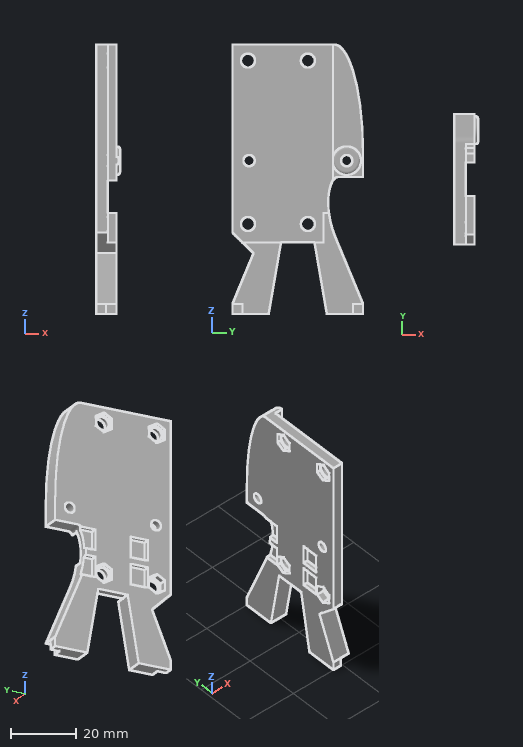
import cadquery as cq
import math

WIDTH = 40.0
HEIGHT = 82.55
BODY_THICKNESS = 6.3
PLATE_THICKNESS = 3.55

FOOT_WIDTH = 11.15
FOOT_HEIGHT = 3.1
CROTCH_HEIGHT = 21.95
CROTCH_INSET = 14.95
WAIST_INSET = 6.4
WAIST_HEIGHT = 18.65
SHOULDER_HEIGHT = 24.9

CORNER_RADIUS_Y = 8.9
CORNER_RADIUS_Z = 33.0
NOTCH_TOP = 41.9
NOTCH_RADIUS_Y = 2.9
NOTCH_RADIUS_Z = 7.6
NOTCH_DEEPEST_Y = 29.4

RIM_INNER_Y = 30.8
BLOCK_TOP = 30.95
BLOCK_INNER_Y = 27.9
FOOT_REBATE = 3.05
FOOT_PLATE_THICKNESS = 3.05

BORE_DIAMETER = 4.2
NUT_Y = (4.8, 23.1)
NUT_Z = (27.6, 77.6)
NUT_FLATS = 5.6
NUT_FLOOR_FLATS = 5.1
NUT_DEPTH = 1.1
DEEP_NUT = (NUT_Y[0], NUT_Z[0])
DEEP_NUT_DEPTH = 2.5

POCKET_DEPTH = 1.2
POCKET_WIDTH = 5.95
POCKET_HEIGHT = 6.8
POCKET_TAPER = 0.5
POCKET_Y = (10.9, 29.1)
POCKET_Z = (29.05, 38.05)

PIN_DIAMETER = 3.4
PIN_Z = 47.0
PIN_Y = (5.1, 35.0)
BOSS_DIAMETER = 8.75
BOSS_HEIGHT = 1.1
BOSS_ROUNDING = 1.0


def plane_at(x):
    """Sketch plane facing +X, with Y across and Z up."""
    return cq.Workplane("YZ", origin=(x, 0, 0))


def rear_box(x, y_range, z_range):
    """Block from x to beyond the rear face, used to open up the rear layer."""
    depth = BODY_THICKNESS + BOSS_HEIGHT - x
    size_y = y_range[1] - y_range[0]
    size_z = z_range[1] - z_range[0]
    corner = (x, y_range[0], z_range[0])
    return cq.Workplane("XY").box(depth, size_y, size_z, centered=False).translate(corner)


def body():
    """Full silhouette at the thickness of the plate plus its rear layer."""
    run = WAIST_INSET
    rise = WAIST_HEIGHT - FOOT_HEIGHT
    slant = math.atan2(run, rise)
    notch_z = NOTCH_TOP - NOTCH_RADIUS_Z
    corner_z = FOOT_HEIGHT + (WIDTH - NOTCH_DEEPEST_Y) * rise / run
    tangent_length = notch_z - corner_z
    arc_start = (
        NOTCH_DEEPEST_Y + tangent_length * math.sin(slant),
        corner_z - tangent_length * math.cos(slant),
    )
    return (
        plane_at(0)
        .moveTo(WIDTH, 0)
        .lineTo(WIDTH, FOOT_HEIGHT)
        .lineTo(*arc_start)
        .tangentArcPoint((NOTCH_DEEPEST_Y, notch_z), relative=False)
        .ellipseArc(NOTCH_RADIUS_Y, NOTCH_RADIUS_Z, 90, 180, sense=-1)
        .lineTo(WIDTH, NOTCH_TOP)
        .lineTo(WIDTH, HEIGHT - CORNER_RADIUS_Z)
        .ellipseArc(CORNER_RADIUS_Y, CORNER_RADIUS_Z, 0, 90)
        .lineTo(0, HEIGHT)
        .lineTo(0, SHOULDER_HEIGHT)
        .lineTo(WAIST_INSET, WAIST_HEIGHT)
        .lineTo(0, FOOT_HEIGHT)
        .lineTo(0, 0)
        .lineTo(FOOT_WIDTH, 0)
        .lineTo(CROTCH_INSET, CROTCH_HEIGHT)
        .lineTo(WIDTH - CROTCH_INSET, CROTCH_HEIGHT)
        .lineTo(WIDTH - FOOT_WIDTH, 0)
        .close()
        .extrude(BODY_THICKNESS)
    )


def rear_openings():
    """Space removed behind the plate and behind the outer edge of each foot."""
    main = rear_box(PLATE_THICKNESS, (0, RIM_INNER_Y), (BLOCK_TOP, HEIGHT))
    beside_block = rear_box(PLATE_THICKNESS, (0, BLOCK_INNER_Y), (CROTCH_HEIGHT, BLOCK_TOP))
    openings = main.union(beside_block)
    for y in (0, WIDTH - FOOT_REBATE):
        openings = openings.union(rear_box(FOOT_PLATE_THICKNESS, (y, y + FOOT_REBATE), (0, FOOT_HEIGHT)))
    return openings


def boss():
    """Rounded boss behind the outer pin hole, trimmed flush with the rim's inner side."""
    disc = (
        plane_at(BODY_THICKNESS)
        .center(PIN_Y[1], PIN_Z)
        .circle(BOSS_DIAMETER / 2)
        .extrude(BOSS_HEIGHT)
        .faces(">X")
        .edges()
        .fillet(BOSS_ROUNDING)
    )
    return disc.cut(rear_box(BODY_THICKNESS, (0, RIM_INNER_Y), (0, HEIGHT)))


def hexagon(x, y, z, flats):
    """Hexagon sketch with a corner pointing up."""
    corner_diameter = flats / math.cos(math.pi / 6)
    return plane_at(x).transformed(offset=(y, z, 0), rotate=(0, 0, 90)).polygon(6, corner_diameter)


def round_hole(diameter, y, z):
    """Round hole through the whole thickness."""
    return plane_at(0).center(y, z).circle(diameter / 2).extrude(BODY_THICKNESS + BOSS_HEIGHT)


def nut_hole(y, z):
    """Round bore with a tapered nut seat in the front face."""
    taper = math.degrees(math.atan2((NUT_FLATS - NUT_FLOOR_FLATS) / 2, NUT_DEPTH))
    seat = hexagon(0, y, z, NUT_FLATS).extrude(NUT_DEPTH, taper=taper)
    hole = seat.union(round_hole(BORE_DIAMETER, y, z))
    if (y, z) == DEEP_NUT:
        hole = hole.union(hexagon(0, y, z, NUT_FLOOR_FLATS).extrude(DEEP_NUT_DEPTH))
    return hole


def pocket(y, z):
    """Shallow rectangular pocket with sloping walls."""
    taper = math.degrees(math.atan2(POCKET_TAPER, POCKET_DEPTH))
    return plane_at(0).center(y, z).rect(POCKET_WIDTH, POCKET_HEIGHT).extrude(POCKET_DEPTH, taper=taper)


result = body().cut(rear_openings()).union(boss())
for y in NUT_Y:
    for z in NUT_Z:
        result = result.cut(nut_hole(y, z))
for y in POCKET_Y:
    for z in POCKET_Z:
        result = result.cut(pocket(y, z))
for y in PIN_Y:
    result = result.cut(round_hole(PIN_DIAMETER, y, PIN_Z))